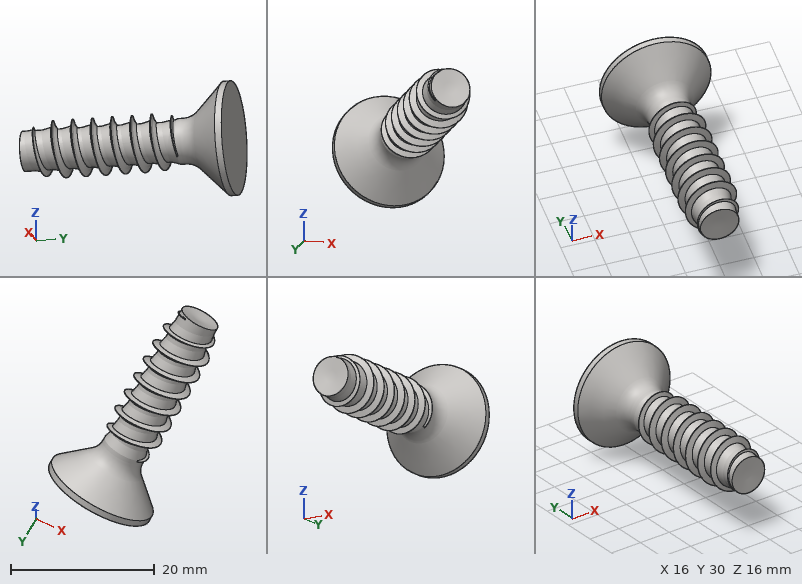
import cadquery as cq
import math

length = 30.0
head_diameter = 16.0
head_radius = head_diameter / 2
rim_height = 0.95
cone_half_angle = 45

neck_radius = 3.2
neck_fillet = 3.18
neck_end = 7.7
core_radius = 2.82
core_start = 9.05
tip_dish_depth = 0.3
tip_dish_radius = 2.65

pitch = 2.82
thread_start = 7.68
thread_full = 10.92
thread_fade = 25.8
thread_end = 29.58
run_out_limit = length - 0.05
fade_length = 4.15
start_height_factor = 0.53
crest_at_plus_x = 8.1
root_radius = core_radius - 0.1
segment_count = 11
stations_per_segment = 16

crest_height = 1.23
crest_half_width = 0.045
head_flank_height = 0.57
head_flank_offset = -0.255
head_base_offset = -0.65
ramp_height = 0.3
ramp_offset = 0.33
ramp_end_offset = 1.98


def make_body():
    """Revolve the head, neck and core around the Y axis."""
    cone_angle = math.radians(cone_half_angle)
    neck_rise = neck_fillet * (1 - math.cos(cone_angle))
    cone_end_radius = neck_radius + neck_rise
    cone_end = rim_height + (head_radius - cone_end_radius) / math.tan(cone_angle)
    neck_start = cone_end + neck_fillet * math.sin(cone_angle)
    mid_angle = cone_angle / 2
    arc_middle = (
        neck_radius + neck_fillet * (1 - math.cos(mid_angle)),
        -neck_start + neck_fillet * math.sin(mid_angle),
    )
    return (
        cq.Workplane("XY")
        .lineTo(head_radius, 0)
        .lineTo(head_radius, -rim_height)
        .lineTo(cone_end_radius, -cone_end)
        .threePointArc(arc_middle, (neck_radius, -neck_start))
        .lineTo(neck_radius, -neck_end)
        .lineTo(core_radius, -core_start)
        .lineTo(core_radius, -length)
        .lineTo(tip_dish_radius, -length)
        .lineTo(0, -length + tip_dish_depth)
        .close()
        .revolve(360, (0, 0), (0, 1))
    )


def height_factor(crest):
    """Share of the full thread height at a crest position."""
    if crest < thread_full:
        progress = (crest - thread_start) / (thread_full - thread_start)
        return start_height_factor + (1 - start_height_factor) * progress
    if crest > thread_fade:
        return 1 - (crest - thread_fade) / fade_length
    return 1.0


def thread_section(crest):
    """Corners of the thread section as (radius, distance from the head face)."""
    factor = height_factor(crest)
    return [
        (root_radius, crest + head_base_offset * factor),
        (core_radius + head_flank_height * factor, crest + head_flank_offset * factor),
        (core_radius + crest_height * factor, crest - crest_half_width * factor),
        (core_radius + crest_height * factor, crest + crest_half_width * factor),
        (core_radius + ramp_height * factor, crest + ramp_offset * factor),
        (root_radius, min(crest + ramp_end_offset, run_out_limit)),
    ]


def section_points(crest):
    """Place the thread section at its angle around the Y axis."""
    angle = 2 * math.pi * (crest - crest_at_plus_x) / pitch
    return [
        cq.Vector(radius * math.cos(angle), -distance, radius * math.sin(angle))
        for radius, distance in thread_section(crest)
    ]


def make_thread_segment(start, end):
    """Join helical edges through the section corners with ruled faces."""
    step = (end - start) / stations_per_segment
    sections = [section_points(start + step * i) for i in range(stations_per_segment + 1)]
    edges = [cq.Edge.makeSpline(list(corners)) for corners in zip(*sections)]
    faces = [cq.Face.makeRuledSurface(edges[i - 1], edges[i]) for i in range(len(edges))]
    for end_section in (sections[0], sections[-1]):
        faces.append(cq.Face.makeFromWires(cq.Wire.makePolygon(end_section, close=True)))
    return cq.Solid.makeSolid(cq.Shell.makeShell(faces)).fix()


def add_thread(body):
    """Add the thread to the body in short segments that meet end to end."""
    segment_length = (thread_end - thread_start) / segment_count
    for i in range(segment_count):
        start = thread_start + i * segment_length
        body = body.union(cq.Workplane(obj=make_thread_segment(start, start + segment_length)))
    return body


result = add_thread(make_body())